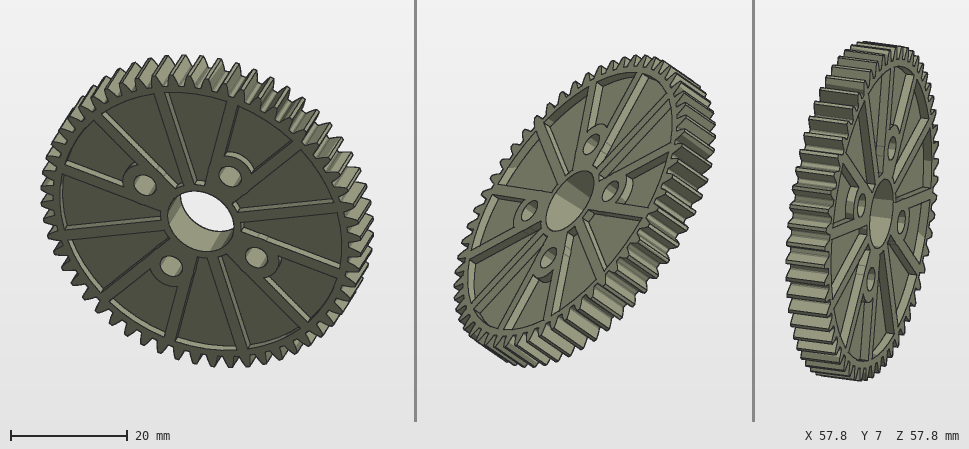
import cadquery as cq
import math

overall_size = 57.85
face_width = 7.0

tooth_count = 56
pitch_radius = 28.0
root_radius = 26.75
pressure_angle = math.radians(20)
tooth_thickness = 1.4
root_fillet = 0.2

bore_diameter = 12.0
hub_radius = 7.3
rim_inner_radius = 25.5
rib_count = 12
rib_width = 2.0
pocket_depth = 1.5

bolt_count = 4
bolt_hole_diameter = 4.05
bolt_circle_radius = 11.4
boss_radius = 4.05
boss_neck_width = 2.9

tooth_pitch = 2 * math.pi / tooth_count
rib_pitch = 2 * math.pi / rib_count
bolt_pitch = 2 * math.pi / bolt_count

first_rib_angle = 8 / 3 * tooth_pitch
first_bolt_angle = first_rib_angle + 1.5 * rib_pitch


def polar(radius, angle):
    return (radius * math.cos(angle), radius * math.sin(angle))


def involute(angle):
    return math.tan(angle) - angle


def half_tooth_angle(radius):
    """Half the angle that a tooth covers at the given radius."""
    base_radius = pitch_radius * math.cos(pressure_angle)
    flank_angle = math.acos(base_radius / radius)
    return tooth_thickness / (2 * pitch_radius) + involute(pressure_angle) - involute(flank_angle)


tip_corner_angle = tooth_pitch / 3 - half_tooth_angle(overall_size / 2)
tip_radius = overall_size / 2 / math.cos(tip_corner_angle)


def is_root_corner(edge):
    centre = edge.Center()
    return math.hypot(centre.x, centre.z) < pitch_radius


def gear_blank():
    root_half = half_tooth_angle(root_radius)
    pitch_half = half_tooth_angle(pitch_radius)
    tip_half = half_tooth_angle(tip_radius)
    outline = cq.Workplane("XZ").moveTo(*polar(root_radius, first_rib_angle - root_half))
    for tooth in range(tooth_count):
        middle = first_rib_angle + tooth * tooth_pitch
        next_middle = middle + tooth_pitch
        outline = (
            outline
            .threePointArc(polar(pitch_radius, middle - pitch_half), polar(tip_radius, middle - tip_half))
            .threePointArc(polar(tip_radius, middle), polar(tip_radius, middle + tip_half))
            .threePointArc(polar(pitch_radius, middle + pitch_half), polar(root_radius, middle + root_half))
            .threePointArc(
                polar(root_radius, middle + tooth_pitch / 2),
                polar(root_radius, next_middle - root_half),
            )
        )
    blank = outline.close().extrude(face_width)
    return blank.edges("|Y").filter(is_root_corner).fillet(root_fillet)


def front_plane():
    return cq.Workplane("XZ", origin=(0, -face_width, 0))


def bolt_centres():
    return [polar(bolt_circle_radius, first_bolt_angle + k * bolt_pitch) for k in range(bolt_count)]


def radial_bar(length, width, angle):
    """Bar as high as the pockets are deep, lying across the gear axis in the given direction."""
    bar = front_plane().rect(length, width).extrude(-pocket_depth)
    return bar.rotate((0, 0, 0), (0, 1, 0), -math.degrees(angle))


def pockets():
    """Recess from hub to rim, less the ribs, bosses and boss necks that stand in it."""
    recess = front_plane().circle(rim_inner_radius).circle(hub_radius).extrude(-pocket_depth)
    for rib in range(rib_count // 2):
        recess = recess.cut(radial_bar(2 * tip_radius, rib_width, first_rib_angle + rib * rib_pitch))
    for bolt in range(bolt_count // 2):
        neck_angle = first_bolt_angle + bolt * bolt_pitch
        recess = recess.cut(radial_bar(2 * bolt_circle_radius, boss_neck_width, neck_angle))
    bosses = front_plane().pushPoints(bolt_centres()).circle(boss_radius).extrude(-pocket_depth)
    return recess.cut(bosses)


bore = cq.Workplane("XZ").circle(bore_diameter / 2).extrude(face_width)
bolt_holes = cq.Workplane("XZ").pushPoints(bolt_centres()).circle(bolt_hole_diameter / 2).extrude(face_width)

result = gear_blank().cut(pockets()).cut(bore).cut(bolt_holes)